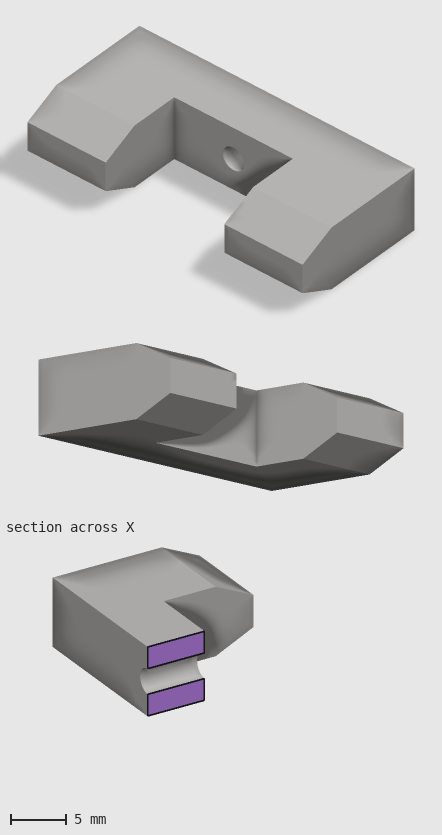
import cadquery as cq

width = 32.5
depth = 15.5
height = 7.0

slot_width = 14.0
back_thickness = 6.0

taper_length = 4.0
taper_drop = 1.9

hole_diameter = 2.55


def tapered_bar():
    """Bar along X, centred on the origin, with its -Y edge tapered above and below."""
    back_y = depth / 2
    tip_y = -depth / 2
    taper_y = tip_y + taper_length
    top_z = height / 2
    tip_z = top_z - taper_drop
    profile = [
        (back_y, -top_z),
        (back_y, top_z),
        (taper_y, top_z),
        (tip_y, tip_z),
        (tip_y, -tip_z),
        (taper_y, -top_z),
    ]
    return cq.Workplane("YZ").polyline(profile).close().extrude(width / 2, both=True)


def slot():
    """Full-height opening that separates the arms."""
    slot_depth = depth - back_thickness
    slot_center_y = (slot_depth - depth) / 2
    return cq.Workplane("XY").box(slot_width, slot_depth, height).translate((0, slot_center_y, 0))


def through_hole():
    """Round hole along Y through the middle of the back."""
    return cq.Workplane("XZ").circle(hole_diameter / 2).extrude(depth, both=True)


result = tapered_bar().cut(slot()).cut(through_hole())